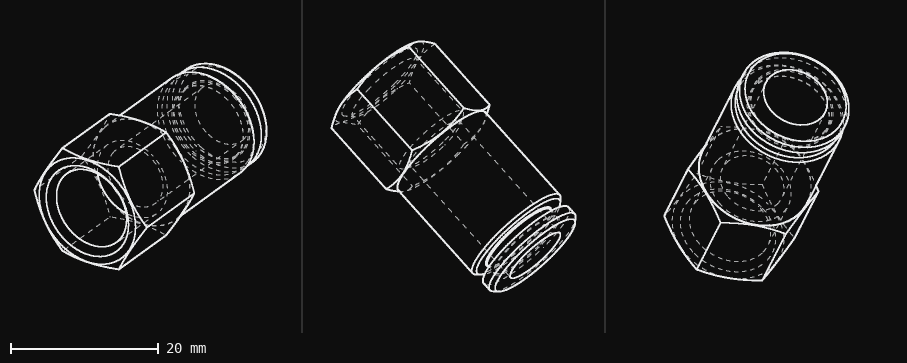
import cadquery as cq
import math


hex_across_flats = 16.0
hex_across_corners = hex_across_flats / math.cos(math.pi / 6)
hex_length = 13.0
hex_face_diameter = 15.8
hex_chamfer_angle = math.radians(30)

body_diameter = 15.9
body_end = 29.0
body_chamfer = 0.45

neck_diameter = 11.4
neck_root_chamfer = 0.15
flange_diameter = 15.5
flange_start = 30.6
flange_chamfer = 0.6
total_length = 32.5

through_diameter = 9.0
thread_diameter = 11.5
thread_depth = 10.8
drill_tip_angle = math.radians(118)
countersink_diameter = 13.5
countersink_angle = math.radians(90)

def revolve_profile(points):
    """Revolve a closed outline of (radius, y) points about the Y axis."""
    return cq.Workplane("XY").polyline(points).close().revolve(360, (0, 0), (0, 1))

def make_hexagon():
    prism = (
        cq.Workplane("XZ")
        .polygon(6, hex_across_corners)
        .extrude(-hex_length)
    )
    face_radius = hex_face_diameter / 2
    corner_radius = hex_across_corners / 2
    chamfer_length = (corner_radius - face_radius) * math.tan(hex_chamfer_angle)
    chamfer_envelope = revolve_profile([
        (0, 0),
        (face_radius, 0),
        (corner_radius, chamfer_length),
        (corner_radius, hex_length - chamfer_length),
        (face_radius, hex_length),
        (0, hex_length),
    ])
    return prism.intersect(chamfer_envelope)

def make_body_and_collar():
    body_radius = body_diameter / 2
    neck_radius = neck_diameter / 2
    flange_radius = flange_diameter / 2
    return revolve_profile([
        (0, hex_length),
        (body_radius, hex_length),
        (body_radius, body_end - body_chamfer),
        (body_radius - body_chamfer, body_end),
        (neck_radius + neck_root_chamfer, body_end),
        (neck_radius, body_end + neck_root_chamfer),
        (neck_radius, flange_start - neck_root_chamfer),
        (neck_radius + neck_root_chamfer, flange_start),
        (flange_radius, flange_start),
        (flange_radius, total_length - flange_chamfer),
        (flange_radius - flange_chamfer, total_length),
        (0, total_length),
    ])

def make_bore():
    through_radius = through_diameter / 2
    thread_radius = thread_diameter / 2
    countersink_radius = countersink_diameter / 2
    countersink_depth = (countersink_radius - thread_radius) / math.tan(countersink_angle / 2)
    drill_tip_length = (thread_radius - through_radius) / math.tan(drill_tip_angle / 2)
    return revolve_profile([
        (0, 0),
        (countersink_radius, 0),
        (thread_radius, countersink_depth),
        (thread_radius, thread_depth),
        (through_radius, thread_depth + drill_tip_length),
        (through_radius, total_length),
        (0, total_length),
    ])

result = make_hexagon().union(make_body_and_collar()).cut(make_bore())